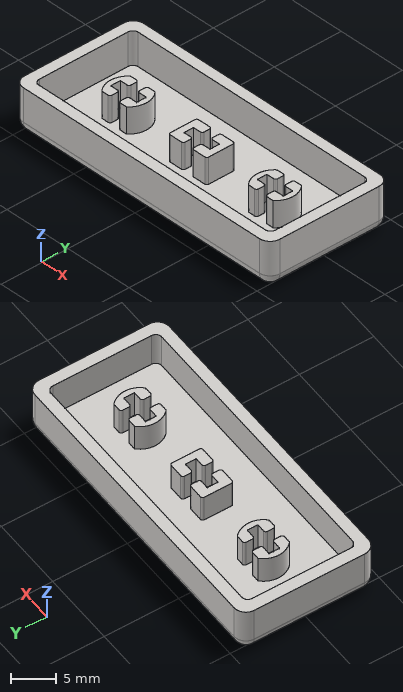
import cadquery as cq

LENGTH = 41.86
WIDTH = 18.05
HEIGHT = 6.3
WALL = 1.6
FLOOR = WALL
OUTER_RADIUS = WALL
BOTTOM_RADIUS = OUTER_RADIUS
INNER_RADIUS = OUTER_RADIUS / 2

STEM_HEIGHT = 3.7
STEM_DEPTH = 4.25
CENTER_STEM_LENGTH = 6.25
ROUND_STEM_DIAMETER = 5.85
ROUND_STEM_OFFSET = 12.0
SOCKET_LENGTH = 4.25
SOCKET_SLOT = 1.42
SOCKET_EDGE_RADIUS = 0.3
CENTER_STEM_CORNER_RADIUS = SOCKET_EDGE_RADIUS


def make_shell():
    body = (
        cq.Workplane("XY")
        .rect(LENGTH, WIDTH)
        .extrude(HEIGHT)
        .edges("|Z")
        .fillet(OUTER_RADIUS)
        .faces("<Z")
        .edges()
        .fillet(BOTTOM_RADIUS)
    )
    cavity = (
        cq.Workplane("XY", origin=(0, 0, FLOOR))
        .rect(LENGTH - 2 * WALL, WIDTH - 2 * WALL)
        .extrude(HEIGHT - FLOOR)
        .edges("|Z")
        .fillet(INNER_RADIUS)
    )
    return body.cut(cavity)


def cut_socket(stem):
    """Split a stem with the cross socket and round the edges beside its through slot."""
    along_x = cq.Workplane("XY").rect(SOCKET_LENGTH, SOCKET_SLOT).extrude(STEM_HEIGHT)
    along_y = cq.Workplane("XY").rect(SOCKET_SLOT, STEM_DEPTH).extrude(STEM_HEIGHT)
    lip_edges = cq.selectors.BoxSelector(
        (-SOCKET_SLOT, -STEM_DEPTH, 0),
        (SOCKET_SLOT, STEM_DEPTH, STEM_HEIGHT),
    )
    split_stem = stem.cut(along_x).cut(along_y)
    return split_stem.edges("|Z").edges(lip_edges).fillet(SOCKET_EDGE_RADIUS)


def make_center_stem():
    block = (
        cq.Workplane("XY")
        .rect(CENTER_STEM_LENGTH, STEM_DEPTH)
        .extrude(STEM_HEIGHT)
        .edges("|Z")
        .fillet(CENTER_STEM_CORNER_RADIUS)
    )
    return cut_socket(block)


def make_round_stem():
    """A round post with flats on its front and back."""
    post = cq.Workplane("XY").circle(ROUND_STEM_DIAMETER / 2).extrude(STEM_HEIGHT)
    flats = cq.Workplane("XY").rect(ROUND_STEM_DIAMETER, STEM_DEPTH).extrude(STEM_HEIGHT)
    return cut_socket(post.intersect(flats))


result = make_shell().union(make_center_stem().translate((0, 0, FLOOR)))
for side in (-1, 1):
    result = result.union(make_round_stem().translate((side * ROUND_STEM_OFFSET, 0, FLOOR)))